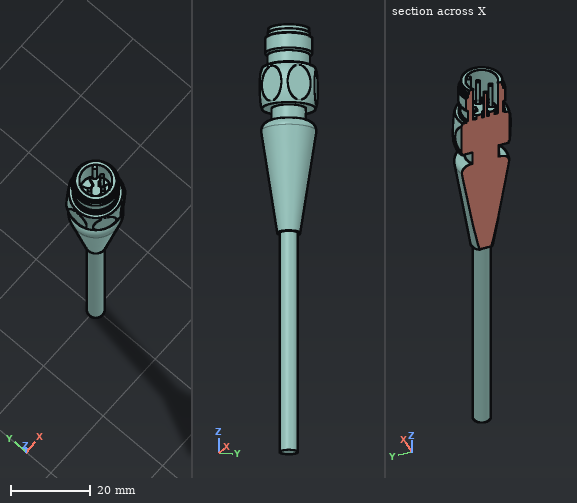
import cadquery as cq
import math

length = 110.4

cable_diameter = 4.6
boot_bottom_z = 57.2
boot_bottom_diameter = 5.9
boot_widest_z = 83.8
boot_diameter = 14.0
boot_top_z = 86.1
boot_rounding = boot_top_z - boot_widest_z
neck_diameter = 8.7

nut_bottom_z = 89.6
nut_top_z = 100.1
nut_across_flats = 14.0
nut_barrel_diameter = 15.3
nut_end_diameter = 13.6
nut_collar_diameter = 11.7
nut_collar_height = 0.4

sleeve_diameter = 10.8
tip_diameter = 10.5
tip_height = 1.1
band_diameter = 11.9
band_bottom_z = 104.1
band_top_z = 108.0
band_chamfer_height = 0.5
band_top_chamfer_height = 0.3

cavity_diameter = 8.3
insert_face_z = 101.6
notch_depth = 1.1
insert_across_flats = 7.0
notch_outer_width = 3.5
notch_inner_width = 1.4
key_notch_inner_radius = 1.4

pin_diameter = 1.0
pin_circle_radius = 2.4
pin_top_z = 108.2
pin_well_diameter = 1.9
pin_angles = (0, 180, 270)
key_notch_angle = 90
rib_diameter = 1.2
rib_centre_radius = 3.6
rib_angle = 45
rib_top_z = 110.1


def cylinder(diameter, bottom_z, top_z, radius_from_axis=0.0, angle=0.0):
    """Upright cylinder placed by polar position around the Z axis."""
    x = radius_from_axis * math.cos(math.radians(angle))
    y = radius_from_axis * math.sin(math.radians(angle))
    base = cq.Workplane("XY", origin=(x, y, bottom_z))
    return base.circle(diameter / 2).extrude(top_z - bottom_z)


def make_boot():
    """Tapered strain relief with a rounded shoulder."""
    boot_radius = boot_diameter / 2
    shoulder_radius = boot_radius - boot_rounding
    arc_offset = boot_rounding * math.sqrt(0.5)
    return (
        cq.Workplane("XZ")
        .moveTo(0, boot_bottom_z)
        .lineTo(boot_bottom_diameter / 2, boot_bottom_z)
        .lineTo(boot_radius, boot_widest_z)
        .threePointArc(
            (shoulder_radius + arc_offset, boot_widest_z + arc_offset),
            (shoulder_radius, boot_top_z),
        )
        .lineTo(0, boot_top_z)
        .close()
        .revolve(360, (0, 0), (0, 1))
    )


def make_nut():
    """Hexagon whose corners are turned down to a barrel."""
    end_radius = nut_end_diameter / 2
    middle_z = (nut_bottom_z + nut_top_z) / 2
    barrel = (
        cq.Workplane("XZ")
        .moveTo(0, nut_bottom_z)
        .lineTo(end_radius, nut_bottom_z)
        .threePointArc(
            (nut_barrel_diameter / 2, middle_z),
            (end_radius, nut_top_z),
        )
        .lineTo(0, nut_top_z)
        .close()
        .revolve(360, (0, 0), (0, 1))
    )
    across_corners = nut_across_flats / math.cos(math.radians(30))
    hexagon = (
        cq.Workplane("XY", origin=(0, 0, nut_bottom_z))
        .transformed(rotate=(0, 0, 30))
        .polygon(6, across_corners)
        .extrude(nut_top_z - nut_bottom_z)
    )
    return barrel.intersect(hexagon)


def make_sleeve():
    """Turned sleeve with a raised band and a stepped tip."""
    sleeve_radius = sleeve_diameter / 2
    tip_radius = tip_diameter / 2
    band_radius = band_diameter / 2
    return (
        cq.Workplane("XZ")
        .moveTo(0, nut_top_z)
        .lineTo(sleeve_radius, nut_top_z)
        .lineTo(sleeve_radius, band_bottom_z - band_chamfer_height)
        .lineTo(band_radius, band_bottom_z)
        .lineTo(band_radius, band_top_z)
        .lineTo(sleeve_radius, band_top_z + band_top_chamfer_height)
        .lineTo(sleeve_radius, length - tip_height)
        .lineTo(tip_radius, length - tip_height)
        .lineTo(tip_radius, length)
        .lineTo(0, length)
        .close()
        .revolve(360, (0, 0), (0, 1))
    )


def make_notch(angle, inner_radius):
    """Wedge-shaped recess in the insert, widening towards the cavity wall."""
    wedge = (
        cq.Workplane("XY", origin=(0, 0, insert_face_z - notch_depth))
        .moveTo(inner_radius, -notch_inner_width / 2)
        .lineTo(cavity_diameter / 2, -notch_outer_width / 2)
        .lineTo(cavity_diameter / 2, notch_outer_width / 2)
        .lineTo(inner_radius, notch_inner_width / 2)
        .close()
        .extrude(notch_depth)
        .rotate((0, 0, 0), (0, 0, 1), angle)
    )
    return wedge.intersect(cylinder(cavity_diameter, insert_face_z - notch_depth, insert_face_z))


body = (
    cylinder(cable_diameter, 0, boot_bottom_z)
    .union(make_boot())
    .union(cylinder(neck_diameter, boot_top_z, nut_bottom_z))
    .union(make_nut())
    .union(cylinder(nut_collar_diameter, nut_top_z, nut_top_z + nut_collar_height))
    .union(make_sleeve())
)

notch_floor_z = insert_face_z - notch_depth
body = body.cut(cylinder(cavity_diameter, insert_face_z, length))
body = body.cut(make_notch(key_notch_angle, key_notch_inner_radius))
for pin_angle in pin_angles:
    body = body.cut(make_notch(pin_angle, pin_circle_radius))
    body = body.cut(
        cylinder(pin_well_diameter, notch_floor_z, insert_face_z, pin_circle_radius, pin_angle)
    )

insert_square = (
    cq.Workplane("XY", origin=(0, 0, notch_floor_z))
    .transformed(rotate=(0, 0, 45))
    .rect(insert_across_flats, insert_across_flats)
    .extrude(notch_depth)
)
body = body.cut(cylinder(cavity_diameter, notch_floor_z, insert_face_z).cut(insert_square))

for pin_angle in pin_angles:
    body = body.union(cylinder(pin_diameter, notch_floor_z, pin_top_z, pin_circle_radius, pin_angle))

rib = cylinder(rib_diameter, notch_floor_z, rib_top_z, rib_centre_radius, rib_angle)

result = body.union(rib)